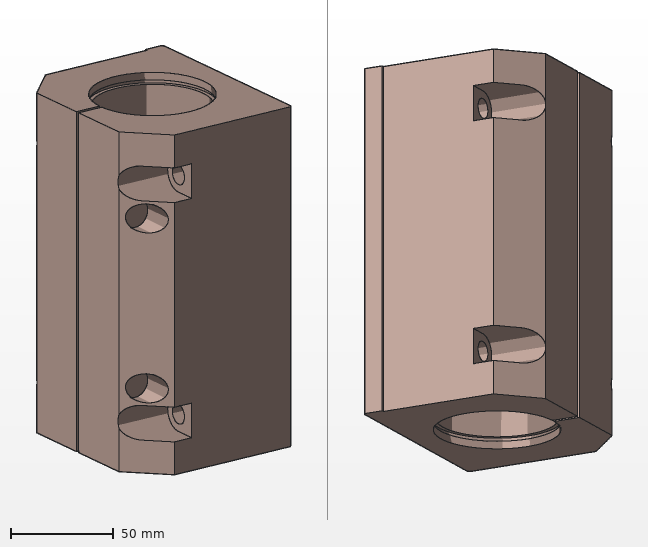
import cadquery as cq

width = 108.0
depth = 90.0
length = 176.0
right_x = width / 2
left_x = -width / 2
back_y = depth / 2
front_y = -depth / 2

pad_step = 1.2
pad_height = 10.4
back_chamfer = 1.0
left_chamfer = 18.7
right_chamfer = 19.4

bore_diameter = 60.0
recess_diameter = 62.1
recess_depth = 3.9
groove_diameter = 64.6
groove_width = 2.0
slit_width = 2.0

lube_diameter = 4.2
lube_depth = 7.0

mount_x = 43.0
mount_z = 62.0
mount_diameter = 10.0
pocket_width = 18.0
pocket_depth = 29.7

clamp_y = -35.2
clamp_z = 44.0
clamp_diameter = 15.0
clamp_floor_x = right_x - right_chamfer


def make_body():
    side_x = left_x + pad_step
    outline = [
        (left_x + back_chamfer, back_y),
        (right_x - back_chamfer, back_y),
        (right_x, back_y - back_chamfer),
        (right_x, front_y + right_chamfer),
        (right_x - right_chamfer, front_y),
        (side_x + left_chamfer, front_y),
        (side_x, front_y + left_chamfer),
        (side_x, back_y - pad_height),
        (left_x, back_y - pad_height),
        (left_x, back_y - back_chamfer),
    ]
    return cq.Workplane("XY").polyline(outline).close().extrude(length / 2, both=True)


def make_bore():
    bore = cq.Workplane("XY").circle(bore_diameter / 2).extrude(length / 2, both=True)
    recess = cq.Workplane("XY").circle(recess_diameter / 2).extrude(recess_depth)
    groove = (
        cq.Workplane("XY", origin=(0, 0, recess_depth))
        .circle(groove_diameter / 2)
        .extrude(groove_width)
    )
    bottom_end = recess.union(groove).translate((0, 0, -length / 2))
    top_end = bottom_end.mirror("XY")
    return bore.union(bottom_end).union(top_end)


def make_slit():
    """Slit from the bore axis out through the front face."""
    return cq.Workplane("XY").box(slit_width, depth / 2, length).translate((0, -depth / 4, 0))


def make_lube_hole():
    hole_end_y = bore_diameter / 2 + lube_depth
    return cq.Workplane("XZ", origin=(0, hole_end_y, 0)).circle(lube_diameter / 2).extrude(hole_end_y)


def make_mount(side, z):
    """Through hole and round-ended pocket open to one side (side is -1 or 1)."""
    hole = (
        cq.Workplane("XZ", origin=(side * mount_x, back_y, z))
        .circle(mount_diameter / 2)
        .extrude(depth)
    )
    pocket_floor = (side * mount_x, front_y + pocket_depth, z)
    round_end = cq.Workplane("XZ", origin=pocket_floor).circle(pocket_width / 2).extrude(pocket_depth)
    opening_length = right_x - mount_x
    opening = (
        cq.Workplane("XZ", origin=pocket_floor)
        .center(side * opening_length / 2, 0)
        .rect(opening_length, pocket_width)
        .extrude(pocket_depth)
    )
    return hole.union(round_end).union(opening)


def make_clamp_counterbore(z):
    return (
        cq.Workplane("YZ", origin=(clamp_floor_x, clamp_y, z))
        .circle(clamp_diameter / 2)
        .extrude(right_x - clamp_floor_x)
    )


result = make_body().cut(make_bore()).cut(make_slit()).cut(make_lube_hole())
for end in (-1, 1):
    for side in (-1, 1):
        result = result.cut(make_mount(side, end * mount_z))
    result = result.cut(make_clamp_counterbore(end * clamp_z))